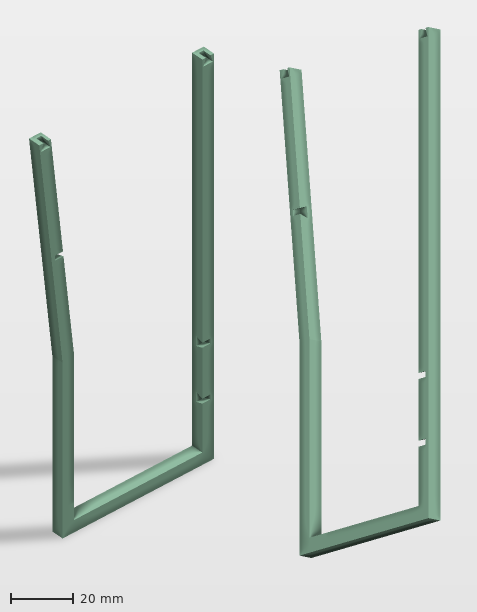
import cadquery as cq
import math

bar = 5.0
base_length = 65.0
overall_depth = 75.01
height = 163.23
bend_height = 70.75
lean = overall_depth - base_length
lean_angle = math.atan2(lean, height - bend_height)

mouth_width = 2.0
root_width = 4.0
dovetail_depth = 3.0

web = 1.5
cut_length = bar - web

back_notch_heights = (25.7, 48.2)
front_notch_height = 114.5


def front_leg_outer_y(z):
    """Y of the outer face of the leaning part of the front leg at height z."""
    return -(z - bend_height) * math.tan(lean_angle)


def frame():
    back_inner = base_length - bar
    inner_bend_height = bend_height + bar * math.tan(lean_angle / 2)
    leaning_end_width = bar / math.cos(lean_angle)
    outline = [
        (-lean, height),
        (0, bend_height),
        (0, 0),
        (base_length, 0),
        (base_length, height),
        (back_inner, height),
        (back_inner, bar),
        (bar, bar),
        (bar, inner_bend_height),
        (leaning_end_width - lean, height),
    ]
    return cq.Workplane("YZ").polyline(outline).close().extrude(bar)


def dovetail(plane, length):
    """Dovetail prism whose mouth lies on the plane's X axis and whose root lies below it."""
    outline = [
        (-mouth_width / 2, 0),
        (mouth_width / 2, 0),
        (root_width / 2, -dovetail_depth),
        (-root_width / 2, -dovetail_depth),
    ]
    return cq.Workplane(plane).polyline(outline).close().extrude(length)


def end_slot(y_center):
    """Slot in the top end of a leg, running along X and open at +X."""
    plane = cq.Plane(origin=(web, y_center, height), xDir=(0, 1, 0), normal=(1, 0, 0))
    return dovetail(plane, cut_length)


def side_notch(y_start, z_center, length):
    """Notch in the +X side of a leg, running along +Y from y_start."""
    plane = cq.Plane(origin=(bar, y_start, z_center), xDir=(0, 0, 1), normal=(0, 1, 0))
    return dovetail(plane, length)


result = frame()

slot_root_height = height - dovetail_depth
result = result.cut(end_slot(base_length - bar / 2))
result = result.cut(end_slot(front_leg_outer_y(slot_root_height) + bar / 2))

for notch_height in back_notch_heights:
    result = result.cut(side_notch(base_length - bar, notch_height, cut_length))

front_notch_start = front_leg_outer_y(front_notch_height) + web
result = result.cut(side_notch(front_notch_start, front_notch_height, bar))